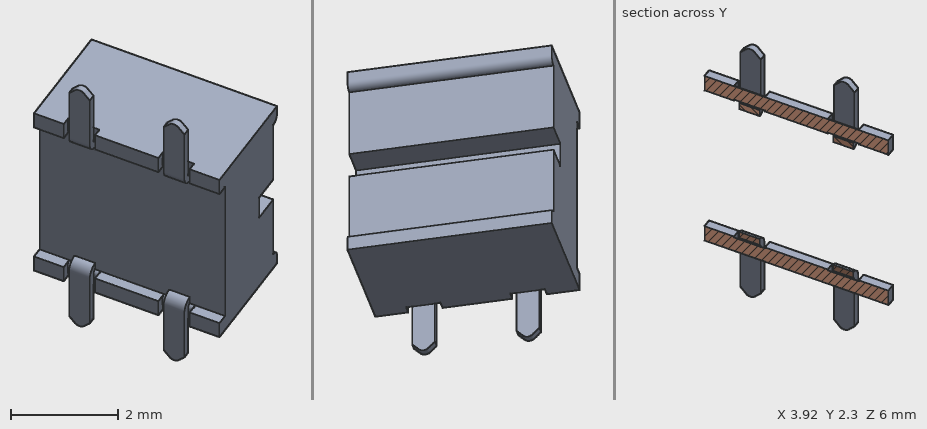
import cadquery as cq
import math


LEAD_SPAN = 6.0
HOUSING_WIDTH = 3.92
HOUSING_DEPTH = 2.3
HOUSING_HEIGHT = 4.0

LIP_HEIGHT = 0.36
FRONT_LIP_DEPTH = 0.22
REAR_LIP_DEPTH = 0.15

GROOVE_HEIGHT = 0.505
GROOVE_DEPTH = 0.565

LEAD_PITCH = 2.0
LEAD_WIDTH = 0.44
LEAD_THICKNESS = 0.15
LEAD_BEND_INNER_RADIUS = FRONT_LIP_DEPTH - LEAD_THICKNESS
LEAD_HEEL_DROP = 0.52
TIP_RADIUS = 0.13

SLOT_WIDTH = 0.66
SLOT_DEPTH_AT_END = 0.175
SLOT_DEPTH_AT_ROUND = 0.155
SLOT_SLOPE_LENGTH = 0.245
SLOT_ROUND_RADIUS = 0.1

HALF_HEIGHT = HOUSING_HEIGHT / 2
HALF_SPAN = LEAD_SPAN / 2
LIP_INNER_Z = HALF_HEIGHT - LIP_HEIGHT
BODY_REAR_Y = HOUSING_DEPTH - REAR_LIP_DEPTH
LEAD_XS = (-LEAD_PITCH / 2, LEAD_PITCH / 2)


def extrude_across(outline, width):
    """Extrude a closed YZ outline symmetrically along X."""
    return outline.extrude(width / 2, both=True)


def make_lead_slot():
    """Cutter for one slot in the top front lip, centred on X=0."""
    round_start_z = HALF_HEIGHT - SLOT_SLOPE_LENGTH
    outline = (
        cq.Workplane("YZ")
        .moveTo(0, HALF_HEIGHT)
        .lineTo(SLOT_DEPTH_AT_END, HALF_HEIGHT)
        .lineTo(SLOT_DEPTH_AT_ROUND, round_start_z)
        .radiusArc((FRONT_LIP_DEPTH, LIP_INNER_Z), -SLOT_ROUND_RADIUS)
        .lineTo(0, LIP_INNER_Z)
        .close()
    )
    return extrude_across(outline, SLOT_WIDTH)


def make_housing():
    """Block with lips at both ends, a rear groove and four lead slots."""
    body_depth = BODY_REAR_Y - FRONT_LIP_DEPTH
    body = cq.Workplane("XY").box(HOUSING_WIDTH, body_depth, HOUSING_HEIGHT, centered=(True, False, True))
    housing = body.translate((0, FRONT_LIP_DEPTH, 0))

    lip_outline = (
        cq.Workplane("YZ")
        .moveTo(0, LIP_INNER_Z)
        .lineTo(0, HALF_HEIGHT)
        .lineTo(HOUSING_DEPTH, HALF_HEIGHT)
        .lineTo(HOUSING_DEPTH, LIP_INNER_Z + REAR_LIP_DEPTH)
        .radiusArc((BODY_REAR_Y, LIP_INNER_Z), REAR_LIP_DEPTH)
        .close()
    )
    lip = extrude_across(lip_outline, HOUSING_WIDTH)
    housing = housing.union(lip).union(lip.mirror("XY"))

    groove = (
        cq.Workplane("XY")
        .box(HOUSING_WIDTH, GROOVE_DEPTH, GROOVE_HEIGHT, centered=(True, False, True))
        .translate((0, BODY_REAR_Y - GROOVE_DEPTH, 0))
    )
    housing = housing.cut(groove)

    slot = make_lead_slot()
    for x in LEAD_XS:
        top_slot = slot.translate((x, 0, 0))
        housing = housing.cut(top_slot).cut(top_slot.mirror("XY"))
    return housing


def make_tip_envelope():
    """Front outline of a lead with its pointed, rounded tip, extruded through the lip depth."""
    half_width = LEAD_WIDTH / 2
    tangent_x = TIP_RADIUS * math.sin(math.radians(45))
    tangent_z = HALF_SPAN - (TIP_RADIUS - tangent_x)
    shoulder_z = tangent_z - (half_width - tangent_x)
    return (
        cq.Workplane("XZ")
        .moveTo(-half_width, 0)
        .lineTo(half_width, 0)
        .lineTo(half_width, shoulder_z)
        .lineTo(tangent_x, tangent_z)
        .threePointArc((0, HALF_SPAN), (-tangent_x, tangent_z))
        .lineTo(-half_width, shoulder_z)
        .close()
        .extrude(-FRONT_LIP_DEPTH)
    )


def make_lead():
    """One upper lead on X=0: a flat leg bent 90 degrees back to meet the housing front face."""
    heel_z = HALF_HEIGHT - LEAD_HEEL_DROP
    bend_z = heel_z + FRONT_LIP_DEPTH
    diagonal = math.sin(math.radians(45))
    outer_mid = FRONT_LIP_DEPTH * diagonal
    inner_mid = LEAD_BEND_INNER_RADIUS * diagonal
    side_outline = (
        cq.Workplane("YZ")
        .moveTo(0, HALF_SPAN)
        .lineTo(0, bend_z)
        .threePointArc((FRONT_LIP_DEPTH - outer_mid, bend_z - outer_mid), (FRONT_LIP_DEPTH, heel_z))
        .lineTo(FRONT_LIP_DEPTH, heel_z + LEAD_THICKNESS)
        .threePointArc((FRONT_LIP_DEPTH - inner_mid, bend_z - inner_mid), (LEAD_THICKNESS, bend_z))
        .lineTo(LEAD_THICKNESS, HALF_SPAN)
        .close()
    )
    return extrude_across(side_outline, LEAD_WIDTH).intersect(make_tip_envelope())


housing = make_housing()

upper_lead = make_lead()
leads = []
for x in LEAD_XS:
    lead = upper_lead.translate((x, 0, 0))
    leads.append(lead.val())
    leads.append(lead.mirror("XY").val())

result = cq.Compound.makeCompound([housing.val(), *leads])